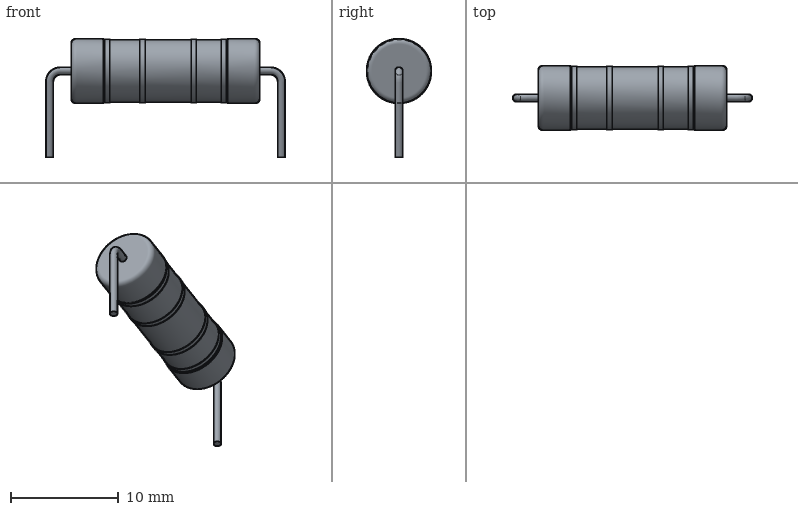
import cadquery as cq

overall_length = 22.18
overall_height = 11.0

cap_diameter = 6.0
core_diameter = 5.81
band_diameter = 5.9
body_length = 17.5
cap_length = 2.97
cap_edge_radius = 0.49

band_width = 0.47
band_centers = (-5.41, -2.13, 2.62, 5.41)

lead_diameter = 0.7
lead_bend_radius = 1.0
lead_x = (overall_length - lead_diameter) / 2
lead_end_z = cap_diameter / 2 - overall_height


def cylinder_along_x(diameter, length, center_x):
    """Solid cylinder on the body axis, centred at center_x."""
    return (
        cq.Workplane("YZ", origin=(center_x - length / 2, 0, 0))
        .circle(diameter / 2)
        .extrude(length)
    )


def end_cap(side):
    """Metal cap with a rounded outer rim; side is -1 or +1 along X."""
    center_x = side * (body_length - cap_length) / 2
    outer_face = ">X" if side > 0 else "<X"
    return (
        cylinder_along_x(cap_diameter, cap_length, center_x)
        .faces(outer_face)
        .edges()
        .fillet(cap_edge_radius)
    )


def lead(side):
    """Round wire leaving the cap along X, then bending down to its end."""
    start_x = body_length / 2 - cap_edge_radius
    bend_start_x = lead_x - lead_bend_radius
    path = (
        cq.Workplane("XZ")
        .moveTo(side * start_x, 0)
        .lineTo(side * bend_start_x, 0)
        .tangentArcPoint((side * lead_x, -lead_bend_radius), relative=False)
        .lineTo(side * lead_x, lead_end_z)
    )
    return (
        cq.Workplane("YZ", origin=(side * start_x, 0, 0))
        .circle(lead_diameter / 2)
        .sweep(path)
    )


result = cylinder_along_x(core_diameter, body_length - cap_length, 0)

for band_center in band_centers:
    result = result.union(cylinder_along_x(band_diameter, band_width, band_center))

for side in (-1, 1):
    result = result.union(end_cap(side)).union(lead(side))